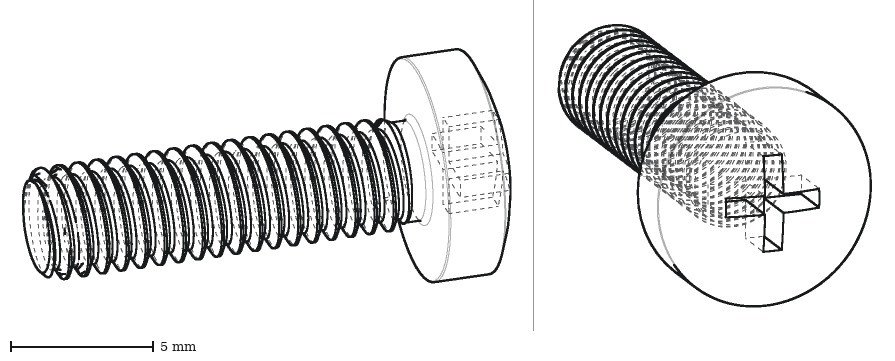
import cadquery as cq
import math


head_radius = 4.0
head_height = 3.075
head_rim_height = 2.06
head_edge_fillet = 0.05

recess_slot_width = 0.69
recess_radius = 1.75
recess_depth = 2.0

shank_length = 14.0
shank_root_height = 0.5
neck_radius = 1.78
neck_length = 0.7
start_cone_length = 0.42
neck_fillet = 0.2
tip_face_radius = 1.67
tip_bulge = 0.04

thread_radius = 2.0
thread_pitch = 0.7
thread_flank_angle = math.radians(30)
thread_crest_flat = thread_pitch / 8
thread_root_flat = thread_pitch / 4
thread_flank_width = (thread_pitch - thread_crest_flat - thread_root_flat) / 2
thread_root_radius = thread_radius - thread_flank_width / math.tan(thread_flank_angle)
thread_start_angle = -120.0
thread_start = 0.832
thread_runout = 0.6
groove_overcut = 0.15


def dome_midpoint(rim_radius, rise):
    """Point halfway along a dome arc: distance from the axis and height above the rim."""
    sphere_radius = (rim_radius**2 + rise**2) / (2 * rise)
    half_angle = math.asin(rim_radius / sphere_radius) / 2
    drop = sphere_radius * (1 - math.cos(half_angle))
    return sphere_radius * math.sin(half_angle), rise - drop


def make_head():
    """Cylindrical rim under a spherical dome, with both rim edges rounded."""
    middle_radius, middle_height = dome_midpoint(head_radius, head_height - head_rim_height)
    blank = (
        cq.Workplane("XY")
        .moveTo(0, 0)
        .lineTo(head_radius, 0)
        .lineTo(head_radius, head_rim_height)
        .threePointArc((middle_radius, head_rim_height + middle_height), (0, head_height))
        .close()
        .revolve(360, (0, 0), (0, 1))
    )
    return blank.faces("<Y or %CYLINDER").edges("%CIRCLE").fillet(head_edge_fillet)


def make_recess():
    """Two crossed slots, cut down from the dome apex."""
    slot_length = 2 * recess_radius
    size_y = 2 * recess_depth
    slot_x = cq.Workplane("XY").box(slot_length, size_y, recess_slot_width)
    slot_z = cq.Workplane("XY").box(recess_slot_width, size_y, slot_length)
    return slot_x.union(slot_z).translate((0, head_height, 0))


def make_shank_blank():
    """Unthreaded shank with neck, start cone and tip, rooted inside the head."""
    tip_chamfer = thread_radius - tip_face_radius
    tip_edge = -(shank_length - tip_bulge)
    fillet_middle = neck_fillet * (1 - math.sqrt(0.5))
    bulge_radius, bulge_height = dome_midpoint(tip_face_radius, tip_bulge)
    return (
        cq.Workplane("XY")
        .moveTo(0, shank_root_height)
        .lineTo(neck_radius + neck_fillet, shank_root_height)
        .lineTo(neck_radius + neck_fillet, 0)
        .threePointArc((neck_radius + fillet_middle, -fillet_middle), (neck_radius, -neck_fillet))
        .lineTo(neck_radius, -neck_length)
        .lineTo(thread_radius, -neck_length - start_cone_length)
        .lineTo(thread_radius, tip_edge + tip_chamfer)
        .lineTo(tip_face_radius, tip_edge)
        .threePointArc((bulge_radius, tip_edge - bulge_height), (0, -shank_length))
        .close()
        .revolve(360, (0, 0), (0, 1))
    )


def make_thread_groove():
    """Right-hand helical groove, swept along +Z and then turned to run along -Y."""
    outer_radius = thread_radius + groove_overcut
    root_half = thread_root_flat / 2
    flank_run = (outer_radius - thread_root_radius) * math.tan(thread_flank_angle)
    outer_half = root_half + flank_run
    helix_height = shank_length + thread_runout - thread_start
    helix = cq.Wire.makeHelix(thread_pitch, helix_height, thread_root_radius)
    groove = (
        cq.Workplane("XZ")
        .moveTo(thread_root_radius, -root_half)
        .lineTo(outer_radius, -outer_half)
        .lineTo(outer_radius, outer_half)
        .lineTo(thread_root_radius, root_half)
        .close()
        .sweep(cq.Workplane("XY").newObject([helix]), isFrenet=True)
    )
    return (
        groove.rotate((0, 0, 0), (0, 0, 1), thread_start_angle)
        .translate((0, 0, thread_start))
        .rotate((0, 0, 0), (1, 0, 0), 90)
    )


shank = make_shank_blank().cut(make_thread_groove())
result = make_head().cut(make_recess()).union(shank)